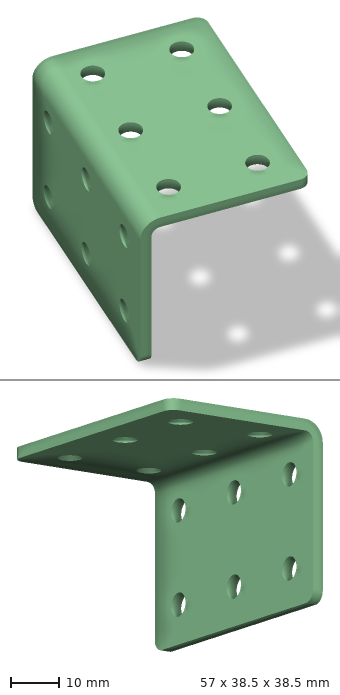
import cadquery as cq

width = 57.0
leg = 38.5
thickness = 2.5
inner_bend_radius = 2.0
corner_radius = 2.5
hole_diameter = 5.15
hole_pitch = 20.0
hole_columns = 3
hole_rows = 2

outer_bend_radius = inner_bend_radius + thickness
edge_distance = (width - (hole_columns - 1) * hole_pitch) / 2
row_center = leg - edge_distance - (hole_rows - 1) * hole_pitch / 2


def bent_sheet():
    """L-shaped sheet: outer faces at Y = 0 and Z = 0, legs running to +Y and -Z."""
    profile = (
        cq.Workplane("YZ")
        .moveTo(0, -leg)
        .lineTo(0, -outer_bend_radius)
        .radiusArc((outer_bend_radius, 0), outer_bend_radius)
        .lineTo(leg, 0)
        .lineTo(leg, -thickness)
        .lineTo(outer_bend_radius, -thickness)
        .radiusArc((thickness, -outer_bend_radius), -inner_bend_radius)
        .lineTo(thickness, -leg)
        .close()
    )
    return profile.extrude(width / 2, both=True)


def round_free_corners(body):
    body = body.faces(">Y").edges("|Z").fillet(corner_radius)
    return body.faces("<Z").edges("|Y").fillet(corner_radius)


def hole_cutters(plane, center_y):
    """Grid of pins passing through the leg that lies in the given plane."""
    return (
        cq.Workplane(plane)
        .center(0, center_y)
        .rarray(hole_pitch, hole_pitch, hole_columns, hole_rows)
        .circle(hole_diameter / 2)
        .extrude(-thickness)
    )


result = (
    round_free_corners(bent_sheet())
    .cut(hole_cutters("XY", row_center))
    .cut(hole_cutters("XZ", -row_center))
)